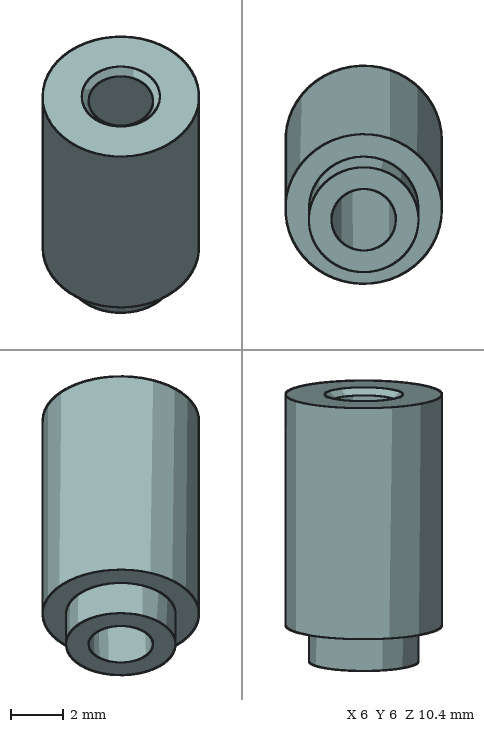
import cadquery as cq

total_height = 10.4
spigot_height = 1.4
body_diameter = 6.0
spigot_diameter = 4.2
bore_diameter = 2.46
bore_mouth_diameter = 3.0

body_height = total_height - spigot_height
bore_chamfer = (bore_mouth_diameter - bore_diameter) / 2

spigot = cq.Workplane("XY").circle(spigot_diameter / 2).extrude(spigot_height)
body = (
    cq.Workplane("XY")
    .workplane(offset=spigot_height)
    .circle(body_diameter / 2)
    .extrude(body_height)
)

bore = cq.Workplane("XY").circle(bore_diameter / 2).extrude(total_height)
spacer = spigot.union(body).cut(bore)
result = spacer.faces(">Z").edges("%CIRCLE").edges(cq.selectors.RadiusNthSelector(0)).chamfer(bore_chamfer)